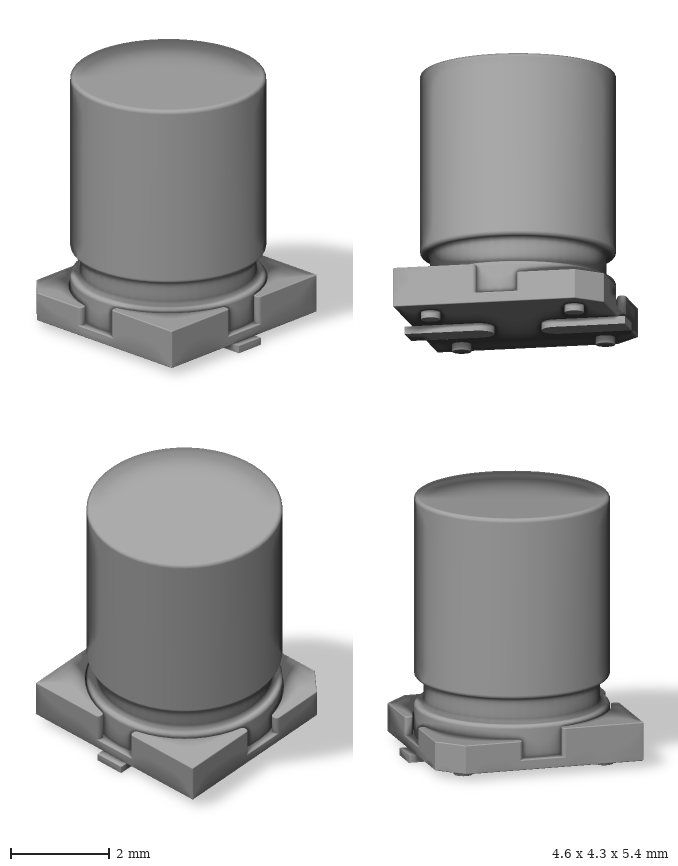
import cadquery as cq


total_height = 5.4
can_radius = 4.0 / 2
neck_radius = 3.6 / 2
bend_radius = 0.08
lower_shoulder = 1.055
upper_shoulder = 1.595

base_side = 4.3
half_side = base_side / 2
corner_cut = 0.5
standoff = 0.155
floor_top = 0.37
low_post_top = 0.765
high_post_top = 0.97
bore_clearance = 0.025
bore_radius = can_radius + bore_clearance
notch_width = 0.855
post_round = 0.075
edge_round = 0.02

peg_diameter = 0.4
peg_spacing = 3.0
peg_round = 0.01

lead_span = 4.6
lead_width = 0.65
lead_gap = 1.0


def bend(profile, center, start, end):
    """Add a quarter arc of bend_radius, given the quarter's start and end directions from its center."""
    diagonal = 0.5 ** 0.5
    middle = [c + bend_radius * diagonal * (s + e) for c, s, e in zip(center, start, end)]
    finish = [c + bend_radius * e for c, e in zip(center, end)]
    return profile.threePointArc(tuple(middle), tuple(finish))


def make_can():
    """Can with a crimped neck and a rounded top, revolved about Z."""
    outward, inward, up, down = (1, 0), (-1, 0), (0, 1), (0, -1)
    rim = can_radius - bend_radius
    root = neck_radius + bend_radius

    profile = cq.Workplane("XZ").moveTo(0, floor_top).lineTo(can_radius, floor_top)

    profile = profile.lineTo(can_radius, lower_shoulder - bend_radius)
    profile = bend(profile, (rim, lower_shoulder - bend_radius), outward, up)
    profile = profile.lineTo(root, lower_shoulder)
    profile = bend(profile, (root, lower_shoulder + bend_radius), down, inward)

    profile = profile.lineTo(neck_radius, upper_shoulder - bend_radius)
    profile = bend(profile, (root, upper_shoulder - bend_radius), inward, up)
    profile = profile.lineTo(rim, upper_shoulder)
    profile = bend(profile, (rim, upper_shoulder + bend_radius), down, outward)

    profile = profile.lineTo(can_radius, total_height - bend_radius)
    profile = bend(profile, (rim, total_height - bend_radius), outward, up)
    profile = profile.lineTo(0, total_height).close()
    return profile.revolve(360, (0, 0, 0), (0, 1, 0))


def make_block():
    """Square block with both -X corners cut off and its sides and bottom slightly rounded."""
    return (
        cq.Workplane("XY", origin=(0, 0, standoff))
        .rect(base_side, base_side)
        .extrude(high_post_top - standoff)
        .edges("|Z and <X")
        .chamfer(corner_cut)
        .edges("|Z")
        .fillet(edge_round)
        .faces("<Z")
        .edges()
        .fillet(edge_round)
    )


def cut_posts(block):
    """Bore the block for the can, notch each side and lower the -X half."""
    above_floor = cq.Workplane("XY", origin=(0, 0, floor_top))
    post_height = high_post_top - floor_top
    bore = above_floor.circle(bore_radius).extrude(post_height)
    notch_along_y = above_floor.rect(notch_width, base_side).extrude(post_height)
    notch_along_x = above_floor.rect(base_side, notch_width).extrude(post_height)
    step = (
        cq.Workplane("XY", origin=(-half_side, 0, low_post_top))
        .rect(base_side, base_side)
        .extrude(high_post_top - low_post_top)
    )
    return block.cut(bore).cut(notch_along_y).cut(notch_along_x).cut(step)


def round_posts(base):
    """Round the post corners beside the notches, then the post tops and the outer floor edges."""
    reach = notch_width / 2 + edge_round
    low, high = floor_top, high_post_top
    beside_y = cq.selectors.BoxSelector((-reach, -base_side, low), (reach, base_side, high))
    beside_x = cq.selectors.BoxSelector((-base_side, -reach, low), (base_side, reach, high))
    base = base.edges("|Z").edges(beside_x + beside_y).fillet(post_round)

    base = base.faces("+Z").faces(">Z[-1] or >Z[-2]").edges().fillet(edge_round)

    for x, y in ((half_side, 0), (-half_side, 0), (0, half_side), (0, -half_side)):
        floor_edge = cq.selectors.NearestToPointSelector((x, y, floor_top))
        base = base.edges(floor_edge).fillet(edge_round)
    return base


def make_pegs():
    """Four round pegs that carry the base, with both end rims slightly rounded."""
    return (
        cq.Workplane("XY")
        .rect(peg_spacing, peg_spacing, forConstruction=True)
        .vertices()
        .circle(peg_diameter / 2)
        .extrude(standoff)
        .edges("not |Z")
        .fillet(peg_round)
    )


def make_leads():
    """Two flat leads along X, square outside and rounded at their inner ends."""
    end_radius = lead_width / 2
    end_center = lead_gap / 2 + end_radius
    right_lead = (
        cq.Workplane("XY")
        .moveTo(end_center, end_radius)
        .threePointArc((lead_gap / 2, 0), (end_center, -end_radius))
        .lineTo(lead_span / 2, -end_radius)
        .lineTo(lead_span / 2, end_radius)
        .close()
        .extrude(standoff)
    )
    return right_lead.union(right_lead.mirror("YZ"))


base = round_posts(cut_posts(make_block()))
result = base.union(make_can()).union(make_pegs()).union(make_leads())